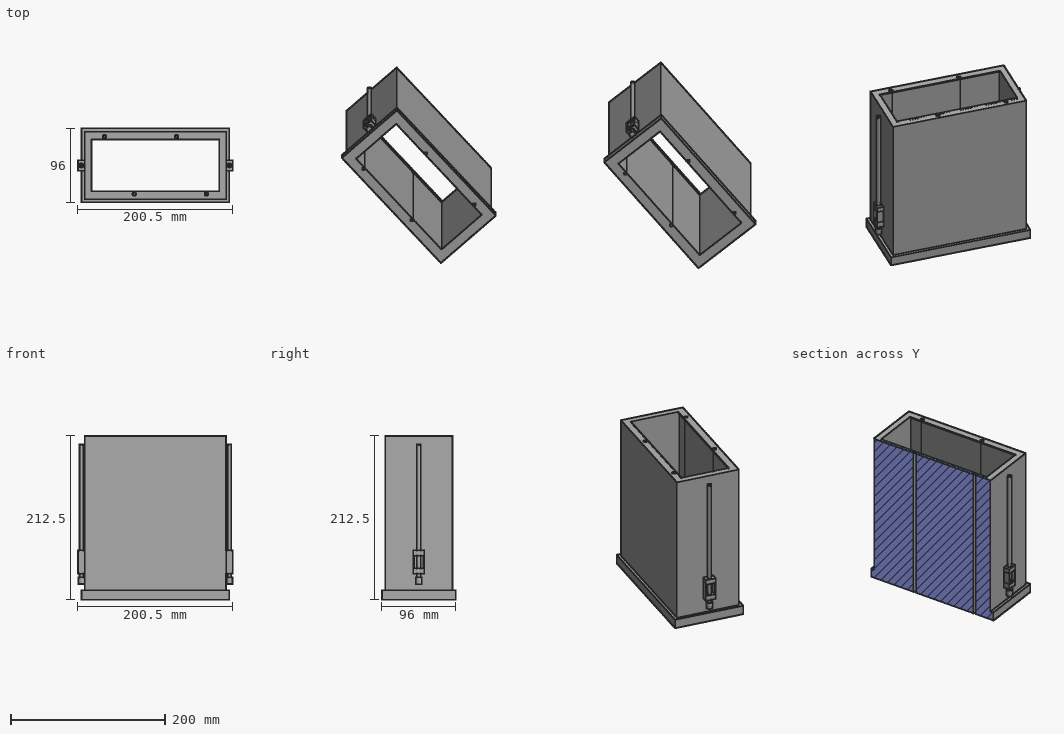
import cadquery as cq

TOTAL_HEIGHT = 212.5
BASE_LENGTH = 191.7
BASE_WIDTH = 96.0
BASE_HEIGHT = 12.5
BASE_LEDGE = 4.2
BODY_LENGTH = BASE_LENGTH - 2 * BASE_LEDGE
BODY_WIDTH = BASE_WIDTH - 2 * BASE_LEDGE

OPENING_LENGTH = 165.3
OPENING_WIDTH = 66.7
LIP_OVERHANG = 1.7
LIP_THICKNESS = 1.5
CAVITY_WIDTH = OPENING_WIDTH + 2 * LIP_OVERHANG

HOLE_DIAMETER = 3.5
COUNTERSINK_DIAMETER = 4.7
COUNTERSINK_ANGLE = 90
HOLE_ROW_Y = 37.2
HOLE_SPACING = 93.5
HOLE_ROW_SHIFT = 19.3

TOTAL_LENGTH = 200.5
BRACKET_DEPTH = (TOTAL_LENGTH - BODY_LENGTH) / 2
HARDWARE_Y = -0.2
BRACKET_WIDTH = 14.0
BRACKET_HEIGHT = 30.4
BRACKET_BOTTOM = 33.8
WINDOW_WIDTH = 11.3
WINDOW_HEIGHT = 16.4
WINDOW_BOTTOM = BRACKET_BOTTOM + (BRACKET_HEIGHT - WINDOW_HEIGHT) / 2

ROD_X = (BODY_LENGTH + BRACKET_DEPTH) / 2
ROD_DIAMETER = 5.3
ROD_TOP = 201.9
SLOT_WIDTH = 1.0
SLOT_DEPTH = 1.7
SLOT_ANGLE = 210
NUT_DIAMETER = 8.0
NUT_HEIGHT = 8.7
NUT_BOTTOM = 20.2
NUT_TOP = NUT_BOTTOM + NUT_HEIGHT


def block(length, width, height, bottom):
    """A box centred on the Z axis, standing on the given level."""
    return cq.Workplane("XY", origin=(0, 0, bottom)).box(length, width, height, centered=(True, True, False))


def cylinder(diameter, bottom, top):
    """A round bar along the Z axis between two levels."""
    return cq.Workplane("XY", origin=(0, 0, bottom)).circle(diameter / 2).extrude(top - bottom)


def make_housing():
    base = block(BASE_LENGTH, BASE_WIDTH, BASE_HEIGHT, 0)
    body = block(BODY_LENGTH, BODY_WIDTH, TOTAL_HEIGHT, 0)
    opening = block(OPENING_LENGTH, OPENING_WIDTH, TOTAL_HEIGHT, 0)
    cavity = block(OPENING_LENGTH, CAVITY_WIDTH, TOTAL_HEIGHT - LIP_THICKNESS, 0)
    hole_centres = [
        (end * HOLE_SPACING / 2 - side * HOLE_ROW_SHIFT, side * HOLE_ROW_Y)
        for side in (-1, 1)
        for end in (-1, 1)
    ]
    return (
        base.union(body)
        .cut(opening)
        .cut(cavity)
        .faces(">Z")
        .workplane(origin=(0, 0, TOTAL_HEIGHT))
        .pushPoints(hole_centres)
        .cskHole(HOLE_DIAMETER, COUNTERSINK_DIAMETER, COUNTERSINK_ANGLE)
    )


def make_bracket():
    bracket = block(BRACKET_DEPTH, BRACKET_WIDTH, BRACKET_HEIGHT, BRACKET_BOTTOM)
    window = block(BRACKET_DEPTH, WINDOW_WIDTH, WINDOW_HEIGHT, WINDOW_BOTTOM)
    rod_hole = cylinder(ROD_DIAMETER, BRACKET_BOTTOM, BRACKET_BOTTOM + BRACKET_HEIGHT)
    return bracket.cut(window).cut(rod_hole)


def make_rod():
    rod = cylinder(ROD_DIAMETER, NUT_TOP, ROD_TOP)
    screwdriver_slot = block(ROD_DIAMETER, SLOT_WIDTH, SLOT_DEPTH, ROD_TOP - SLOT_DEPTH)
    return rod.cut(screwdriver_slot).rotate((0, 0, 0), (0, 0, 1), SLOT_ANGLE)


def make_nut():
    return cylinder(NUT_DIAMETER, NUT_BOTTOM, NUT_TOP)


housing = make_housing()
brackets = []
rods = []
nuts = []
for side in (-1, 1):
    place = (side * ROD_X, HARDWARE_Y, 0)
    brackets.append(make_bracket().translate(place).val())
    rods.append(make_rod().translate(place).val())
    nuts.append(make_nut().translate(place).val())

result = cq.Compound.makeCompound([housing.val(), *brackets, *rods, *nuts])